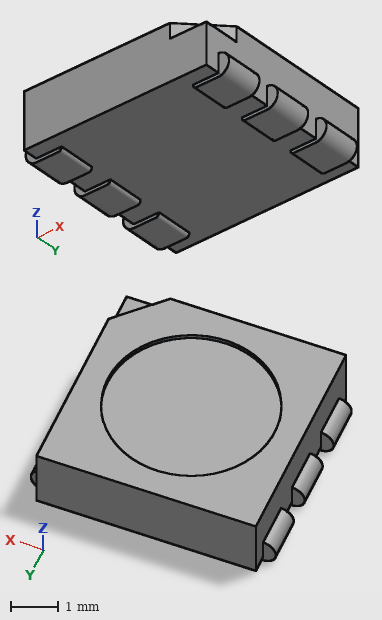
import cadquery as cq

overall_length = 5.58
body_side = 5.0
overall_height = 1.6
standoff = 0.1

recess_diameter = 3.8
recess_depth = 0.1

notch_leg = 1.0
notch_depth = 0.4

leads_per_side = 3
lead_width = 1.0
lead_pitch = 1.6
lead_height = 0.6
foot_reach = 0.7
foot_tip_radius = 0.095

half_side = body_side / 2
half_length = overall_length / 2
lead_radius = lead_height / 2


def make_body():
    """Square block with a round recess and a notched corner at +X, -Y."""
    block = (
        cq.Workplane("XY")
        .workplane(offset=standoff)
        .rect(body_side, body_side)
        .extrude(overall_height - standoff)
    )
    recess = (
        cq.Workplane("XY")
        .workplane(offset=overall_height - recess_depth)
        .circle(recess_diameter / 2)
        .extrude(recess_depth)
    )
    notch = (
        cq.Workplane("XY")
        .workplane(offset=overall_height - notch_depth)
        .moveTo(half_side, -half_side)
        .lineTo(half_side, -half_side + notch_leg)
        .lineTo(half_side - notch_leg, -half_side)
        .close()
        .extrude(notch_depth)
    )
    return block.cut(recess).cut(notch)


def make_lead(y_center):
    """Lead on the +X side: rounded outer bend and a foot reaching under the body."""
    bend_x = half_length - lead_radius
    foot_tip_x = half_side - foot_reach
    bar = (
        cq.Workplane("XZ", origin=(0, y_center, 0))
        .moveTo(foot_tip_x, 0)
        .lineTo(bend_x, 0)
        .threePointArc((half_length, lead_radius), (bend_x, lead_height))
        .lineTo(foot_tip_x, lead_height)
        .close()
        .extrude(lead_width / 2, both=True)
    )
    return bar.edges("<X and <Z").fillet(foot_tip_radius)


result = make_body()
for index in range(leads_per_side):
    y_center = (index - (leads_per_side - 1) / 2) * lead_pitch
    lead = make_lead(y_center)
    result = result.union(lead).union(lead.mirror("YZ"))